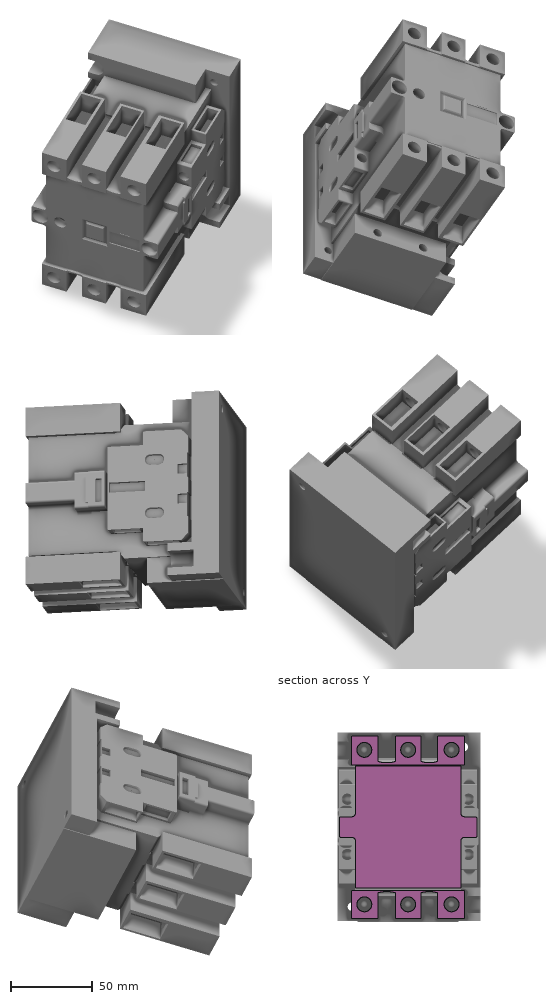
import cadquery as cq
import math


base_left, base_right = -43.4, 44.8
base_top, base_bottom = 58.0, -57.9
plate_depth = 17.0
hood_depth = 32.1
top_hood_right, top_hood_bottom = 28.7, 36.7
bottom_hood_left, bottom_hood_top = -27.3, -37.4
mount_hole_x, mount_hole_z = 34.5, 49.1
mount_hole_radius = 2.6
hood_slot_depth = 16.0
hood_slot_round_x = 38.4
hood_slot_flat = 0.5
top_slot_z, top_slot_height = 46.9, 11.1
bottom_slot_z, bottom_slot_height = -47.7, 10.6

foot_half_width = 31.1
foot_depth = 47.8
foot_bottom = -58.4
foot_hole_x, foot_hole_z = 15.5, -52.3
foot_hole_radius = 3.0
foot_hole_length = 6.2

body_half_width = 32.6
rear_half_height = 42.4
rear_bevel_start, rear_bevel_end = 61.6, 63.7
rear_bevel_drop = 2.6
rear_end = 66.5
front_half_height = 37.6
front_depth = 121.6

terminal_start, terminal_end = 63.8, 123.0
terminal_spans = [(-34.9, -18.3), (-8.0, 8.0), (17.8, 34.9)]
terminal_outer_z = 56.2
top_terminal_inner_z = 38.0
bottom_terminal_inner_z = 38.7
web_start, web_end = 62.7, 122.3
web_middle_z, web_edge_z = 39.7, 40.5
terminal_pocket_centres = [-26.7, 0.4, 26.9]
terminal_pocket_width = 13.3
terminal_pocket_start, terminal_pocket_end = 65.4, 89.9
terminal_pocket_floor = 41.6
terminal_screw_centres = [-26.9, 0, 26.7]
terminal_screw_z = 47.5
terminal_screw_radius = 4.4

aux_outer_x = 42.4
aux_back, aux_step, aux_front = 19.7, 47.8, 70.2
aux_back_half_height, aux_front_half_height = 35.2, 26.5
aux_chamfer = 4.3
aux_corner_radius = 0.6
aux_relief_depth = 0.6
aux_relief_low, aux_relief_high = 4.8, 20.2
aux_pocket_inner_x, aux_pocket_outer_x = 34.0, 41.2
aux_back_pocket_span = (26.0, 46.6)
aux_back_pocket_length = 9.8
aux_front_pocket_span = (50.7, 67.4)
aux_front_pocket_length = 2.5
aux_screw_x, aux_screw_z = 37.3, 17.0
aux_screw_radius = 3.5
aux_screw_length = 9.8
aux_recess = 2.5
aux_oval_depth, aux_oval_length, aux_oval_height = 40.8, 12.0, 6.6
aux_oval_recess = 1.5
aux_oval_taper = 20
aux_dimple_radius, aux_dimple_depth = 0.2, 0.4
aux_notch_span = (20.5, 26.2)
aux_notch_heights = [(7.1, 13.3), (-11.8, -5.8)]
aux_groove_span = (46.6, 69.1)
aux_groove_bottom, aux_groove_top = -2.7, 3.6

arm_outer_x = 42.4
arm_half_height = 6.5
clip_half_height = 11.6
clip_start, clip_fillet_start, clip_end = 71.8, 82.2, 90.9
arm_outer_radius = 1.2
arm_root_radius = 1.8
pad_outer_x = 43.4
pad_tongue_half_height = 8.2
pad_tongue_end = 83.8
pad_slot_span = (73.7, 77.6)
pad_slot_bottom, pad_slot_top = -8.5, 6.3
pad_slot_recess = 2.7
arm_screw_x = 36.5
arm_screw_radius = 5.2
arm_screw_length = 12.3

test_hole_x, test_hole_radius, test_hole_length = -23.1, 4.0, 6.2
window_width, window_floor_width = 17.1, 14.8
button_base_width, button_top_width = 12.8, 10.8
window_recess = 1.2
label_left, label_right = 9.7, 30.0
label_half_height = 4.9
label_recess = 0.6
nail_slit_left, nail_slit_right = 16.2, 23.6
nail_slit_bottom, nail_slit_top = 5.7, 5.9


def block(x_span, depth_span, z_span):
    """Box between two X positions, two depths and two heights, given in any order."""
    x_low, x_high = sorted(x_span)
    shallow, deep = sorted(depth_span)
    z_low, z_high = sorted(z_span)
    size = (x_high - x_low, deep - shallow, z_high - z_low)
    return cq.Workplane("XY").box(*size, centered=False).translate((x_low, -deep, z_low))


def front_plane(depth):
    """Sketch plane facing the front at a depth; local x is X and local y is Z."""
    return cq.Workplane("XZ", origin=(0, -depth, 0))


def bore(x, z, radius, shallow, deep):
    """Round cylinder along the depth axis."""
    return front_plane(shallow).center(x, z).circle(radius).extrude(deep - shallow)


def both_sides(shape):
    """A shape together with its mirror image in the X = 0 plane."""
    return shape.union(shape.mirror("YZ"))


def hood_slot(round_x, outer_x, z, height):
    """Slot open to the side of a hood, its inner corners rounded from round_x inwards."""
    radius = (height - hood_slot_flat) / 2
    inner_x = round_x - math.copysign(radius, round_x)
    slot = block((inner_x, outer_x), (hood_slot_depth, hood_depth), (z - height / 2, z + height / 2))
    inner_edges = "|Y and >X" if round_x < 0 else "|Y and <X"
    return slot.edges(inner_edges).fillet(radius)


def make_base():
    plate = block((base_left, base_right), (0, plate_depth), (base_bottom, base_top))
    top_hood = block((base_left, top_hood_right), (0, hood_depth), (top_hood_bottom, base_top))
    bottom_hood = block((bottom_hood_left, base_right), (0, hood_depth), (base_bottom, bottom_hood_top))
    base = plate.union(top_hood).union(bottom_hood)
    base = base.cut(hood_slot(-hood_slot_round_x, base_left, top_slot_z, top_slot_height))
    base = base.cut(hood_slot(hood_slot_round_x, base_right, bottom_slot_z, bottom_slot_height))
    for side in (-1, 1):
        base = base.cut(bore(side * mount_hole_x, side * mount_hole_z, mount_hole_radius, 0, plate_depth))
    return base


def make_foot():
    foot = block((-foot_half_width, foot_half_width), (0, foot_depth), (foot_bottom, 0))
    hole_start = foot_depth - foot_hole_length
    hole = bore(foot_hole_x, foot_hole_z, foot_hole_radius, hole_start, foot_depth)
    return foot.cut(both_sides(hole))


def make_body():
    bevel_z = rear_half_height - rear_bevel_drop
    rear = (
        cq.Workplane("YZ")
        .moveTo(0, -rear_half_height)
        .lineTo(-rear_bevel_start, -rear_half_height)
        .lineTo(-rear_bevel_end, -bevel_z)
        .lineTo(-rear_end, -bevel_z)
        .lineTo(-rear_end, bevel_z)
        .lineTo(-rear_bevel_end, bevel_z)
        .lineTo(-rear_bevel_start, rear_half_height)
        .lineTo(0, rear_half_height)
        .close()
        .extrude(body_half_width, both=True)
    )
    front = block(
        (-body_half_width, body_half_width), (0, front_depth), (-front_half_height, front_half_height)
    )
    return rear.union(front)


def make_terminals(inner_z):
    """Upper terminal row; inner_z is the height of its underside."""
    row = None
    for span in terminal_spans:
        terminal = block(span, (terminal_start, terminal_end), (inner_z, terminal_outer_z))
        row = terminal if row is None else row.union(terminal)
    for (_, left), (right, _) in zip(terminal_spans, terminal_spans[1:]):
        web = (
            front_plane(web_start)
            .moveTo(left, inner_z)
            .lineTo(left, web_edge_z)
            .threePointArc(((left + right) / 2, web_middle_z), (right, web_edge_z))
            .lineTo(right, inner_z)
            .close()
            .extrude(web_end - web_start)
        )
        shoulder = block((left, right), (rear_bevel_start, web_start), (inner_z, rear_half_height))
        row = row.union(web).union(shoulder)
    for x in terminal_pocket_centres:
        half_width = terminal_pocket_width / 2
        pocket = block(
            (x - half_width, x + half_width),
            (terminal_pocket_start, terminal_pocket_end),
            (terminal_pocket_floor, terminal_outer_z),
        )
        row = row.cut(pocket)
    for x in terminal_screw_centres:
        row = row.cut(bore(x, terminal_screw_z, terminal_screw_radius, terminal_pocket_end, terminal_end))
    return row


def make_aux_block():
    """Auxiliary contact block on the +X side."""
    back = block(
        (0, aux_outer_x), (aux_back, aux_step), (-aux_back_half_height, aux_back_half_height)
    )
    back = back.edges("|X and >Y").chamfer(aux_chamfer)
    back = back.edges("|X and <Y").fillet(aux_corner_radius)
    front = block(
        (0, aux_outer_x), (aux_back, aux_front), (-aux_front_half_height, aux_front_half_height)
    )
    front = front.edges("|X and <Y").fillet(aux_corner_radius)
    aux = back.union(front)

    x_span = (aux_pocket_inner_x, aux_pocket_outer_x)
    recess_span = (aux_outer_x - aux_recess, aux_outer_x)
    outer_plane = cq.Workplane("YZ", origin=(aux_outer_x, 0, 0))
    back_floor = aux_back_half_height - aux_back_pocket_length
    front_floor = aux_front_half_height - aux_front_pocket_length
    screw_start = aux_front - aux_screw_length
    for side in (-1, 1):
        aux = aux.cut(
            block(
                (0, aux_outer_x),
                (aux_back, aux_back + aux_relief_depth),
                (side * aux_relief_low, side * aux_relief_high),
            )
        )
        back_heights = (side * back_floor, side * aux_back_half_height)
        aux = aux.cut(block(x_span, aux_back_pocket_span, back_heights))
        front_heights = (side * front_floor, side * aux_front_half_height)
        aux = aux.cut(block(x_span, aux_front_pocket_span, front_heights))
        aux = aux.cut(bore(aux_screw_x, side * aux_screw_z, aux_screw_radius, screw_start, aux_front))
        oval = (
            outer_plane.center(-aux_oval_depth, side * aux_screw_z)
            .slot2D(aux_oval_length, aux_oval_height)
            .extrude(-aux_oval_recess, taper=aux_oval_taper)
        )
        dimple = (
            outer_plane.center(-aux_oval_depth, side * aux_screw_z)
            .circle(aux_dimple_radius)
            .extrude(-aux_oval_recess - aux_dimple_depth)
        )
        aux = aux.cut(oval).cut(dimple)
    for heights in aux_notch_heights:
        aux = aux.cut(block(recess_span, aux_notch_span, heights))
    return aux.cut(block(recess_span, aux_groove_span, (aux_groove_bottom, aux_groove_top)))


def arm_bar(outer_x, half_height, start, end):
    """Bar on the +X side with rounded outer edges."""
    bar = block((0, outer_x), (start, end), (-half_height, half_height))
    return bar.edges("|Y and >X").fillet(arm_outer_radius)


def arm_root(half_height, start, end):
    """Concave fillets where a bar of the given half height meets the body side."""
    reach_x = body_half_width + arm_root_radius
    reach_z = half_height + arm_root_radius
    root = block((0, reach_x), (start, end), (-reach_z, reach_z))
    for side in (-1, 1):
        root = root.cut(bore(reach_x, side * reach_z, arm_root_radius, start, end))
    return root


def make_arm():
    """Side arm on the +X side, without its screw hole."""
    arm = arm_bar(arm_outer_x, arm_half_height, clip_end, front_depth)
    arm = arm.union(arm_root(arm_half_height, clip_end, front_depth))
    arm = arm.union(arm_bar(arm_outer_x, clip_half_height, clip_start, clip_end))
    arm = arm.union(arm_root(clip_half_height, clip_fillet_start, clip_end))

    pad = arm_bar(pad_outer_x, clip_half_height, clip_start, clip_fillet_start)
    tongue = block(
        (0, pad_outer_x), (clip_start, pad_tongue_end), (-pad_tongue_half_height, pad_tongue_half_height)
    )
    arm = arm.union(pad).union(tongue)
    slot_x = (pad_outer_x - pad_slot_recess, pad_outer_x)
    return arm.cut(block(slot_x, pad_slot_span, (pad_slot_bottom, pad_slot_top)))


def square_frustum(back_width, back_depth, front_width, front_depth_position):
    """Square frustum centred on the depth axis."""
    return (
        front_plane(back_depth)
        .rect(back_width, back_width)
        .workplane(offset=front_depth_position - back_depth)
        .rect(front_width, front_width)
        .loft(ruled=True)
    )


def cut_front_details(part):
    """Cut the arm screw holes, test hole, button window, label recess and nail slit."""
    arm_screw = bore(arm_screw_x, 0, arm_screw_radius, front_depth - arm_screw_length, front_depth)
    part = part.cut(both_sides(arm_screw))
    part = part.cut(bore(test_hole_x, 0, test_hole_radius, front_depth - test_hole_length, front_depth))

    window_floor = front_depth - window_recess
    part = part.cut(square_frustum(window_floor_width, window_floor, window_width, front_depth))
    part = part.union(square_frustum(button_base_width, window_floor, button_top_width, front_depth))

    label_span = (front_depth - label_recess, front_depth)
    part = part.cut(block((label_left, label_right), label_span, (-label_half_height, label_half_height)))
    return part.cut(
        block((nail_slit_left, nail_slit_right), label_span, (nail_slit_bottom, nail_slit_top))
    )


result = make_base().union(make_foot()).union(make_body())
result = result.union(both_sides(make_aux_block()))
result = result.union(both_sides(make_arm()))
result = result.union(make_terminals(top_terminal_inner_z))
result = result.union(make_terminals(bottom_terminal_inner_z).mirror("XY"))
result = cut_front_details(result)